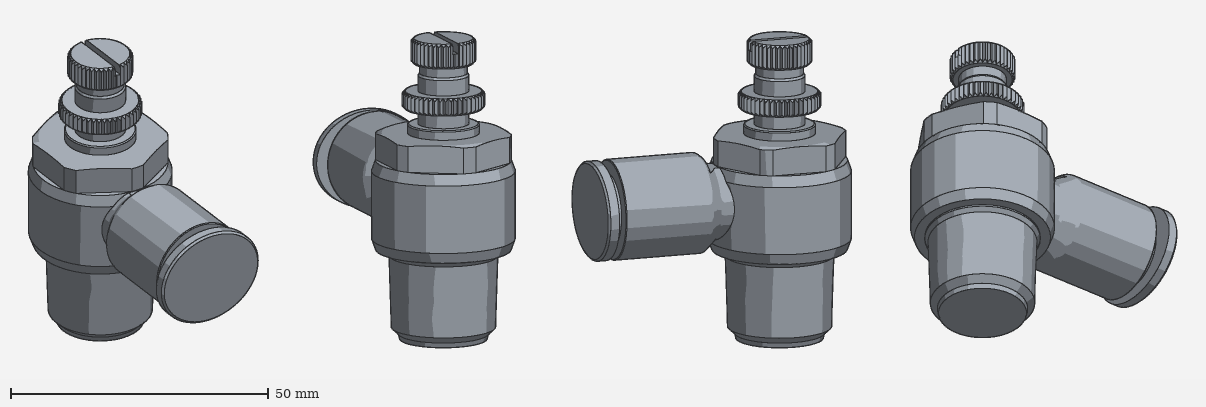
import cadquery as cq
import math


total_height = 59.8
tip_radius = 8.55
tip_upper_radius = 8.8
tip_height = 1.0
thread_bottom_z = 2.35
thread_bottom_radius = 10.15
thread_top_z = 16.55
taper = 1 / 32
thread_top_radius = thread_bottom_radius + taper * (thread_top_z - thread_bottom_z)
flare_radius = 11.25
flare_lip_height = 0.35

body_radius = 14.0
body_bottom_z = 17.8
body_top_z = 35.5
body_chamfer_height = 2.15
body_end_radius = 13.2

hex_flats = 24.1
hex_corner_radius = 13.2
hex_top_z = 40.95
hex_face_radius = 11.95
hex_chamfer_height = 0.3

collar_radius = 7.0
collar_top_z = 42.8
collar_chamfer = 0.25
stem_radius = 4.95
stem_shoulder_z = 52.4
stem_neck_z = 52.85
stem_neck_radius = 4.65
nut_bottom_z = 45.85
nut_top_z = 49.35
nut_tip_radius = 8.1
nut_root_radius = 7.4
nut_teeth = 46
head_bottom_z = 54.85
head_tip_radius = 6.35
head_root_radius = 5.85
head_teeth = 40
knurl_chamfer = 0.6
slot_width = 1.2
slot_depth = 2.0

port_z = 28.3
neck_radius = 7.5
cone_start_x = 14.25
cone_end_x = 17.0
cone_fillet = 1.0
barrel_radius = 9.85
barrel_end_x = 34.85
barrel_chamfer = 0.2
sleeve_radius = 7.05
flange_start_x = 36.7
flange_end_x = 38.9
flange_half_width = 11.3
flange_half_height = 9.7
flange_chamfer = 0.4

relief_floor_z = 35.45
relief_start_x = 15.4
relief_end_x = 16.15
relief_start_radius = relief_floor_z - port_z
relief_end_radius = 9.2


def turned(outline):
    """Revolve (radius, z) points about the Z axis; the outline is closed along the axis."""
    bottom_z = outline[0][1]
    top_z = outline[-1][1]
    points = [(0, bottom_z)] + outline + [(0, top_z)]
    return cq.Workplane("XZ").polyline(points).close().revolve(360, (0, 0), (0, 1))


def turned_about_port(outline):
    """Revolve (x, radius) points about the port axis; the outline is closed as given."""
    points = [(x, port_z + radius) for x, radius in outline]
    return cq.Workplane("XZ").polyline(points).close().revolve(360, (0, port_z), (1, port_z))


def chamfered_disc(radius, bottom_z, top_z, chamfer):
    disc = cq.Workplane("XY", origin=(0, 0, bottom_z)).circle(radius).extrude(top_z - bottom_z)
    return disc.faces("|Z").edges().chamfer(chamfer)


def knurled_disc(tip_radius, root_radius, teeth, bottom_z, top_z, first_tooth):
    """Disc with straight V teeth; first_tooth is the angle of one tooth tip in radians."""
    half_pitch = math.pi / teeth
    points = []
    for i in range(2 * teeth):
        radius = root_radius if i % 2 else tip_radius
        angle = first_tooth + i * half_pitch
        points.append((radius * math.cos(angle), radius * math.sin(angle)))
    height = top_z - bottom_z
    toothed = cq.Workplane("XY", origin=(0, 0, bottom_z)).polyline(points).close().extrude(height)
    return toothed.intersect(chamfered_disc(tip_radius, bottom_z, top_z, knurl_chamfer))


def make_body():
    return turned([
        (tip_radius, 0),
        (tip_upper_radius, tip_height),
        (thread_bottom_radius, thread_bottom_z),
        (thread_top_radius, thread_top_z),
        (flare_radius, body_bottom_z - flare_lip_height),
        (flare_radius, body_bottom_z),
        (body_end_radius, body_bottom_z),
        (body_radius, body_bottom_z + body_chamfer_height),
        (body_radius, body_top_z - body_chamfer_height),
        (body_end_radius, body_top_z),
    ])


def make_hexagon():
    corner_diameter = hex_flats / math.cos(math.pi / 6)
    prism = (
        cq.Workplane("XY", origin=(0, 0, body_top_z))
        .polygon(6, corner_diameter)
        .extrude(hex_top_z - body_top_z)
    )
    envelope = turned([
        (hex_corner_radius, body_top_z),
        (hex_corner_radius, hex_top_z - hex_chamfer_height),
        (hex_face_radius, hex_top_z),
    ])
    return prism.intersect(envelope)


def make_stem():
    return turned([
        (collar_radius, hex_top_z),
        (collar_radius, collar_top_z - collar_chamfer),
        (collar_radius - collar_chamfer, collar_top_z),
        (stem_radius, collar_top_z),
        (stem_radius, stem_shoulder_z),
        (stem_neck_radius, stem_neck_z),
        (stem_neck_radius, head_bottom_z),
    ])


def make_nut():
    return knurled_disc(nut_tip_radius, nut_root_radius, nut_teeth, nut_bottom_z, nut_top_z, math.pi / 2)


def make_head():
    half_pitch = math.pi / head_teeth
    head = knurled_disc(
        head_tip_radius, head_root_radius, head_teeth, head_bottom_z, total_height, half_pitch
    )
    slot = cq.Workplane("XY", origin=(0, 0, total_height)).box(
        2 * head_tip_radius, slot_width, 2 * slot_depth
    )
    return head.cut(slot)


def make_port():
    barrel = turned_about_port([
        (0, 0),
        (0, neck_radius),
        (cone_start_x, neck_radius),
        (cone_end_x, barrel_radius),
        (barrel_end_x - barrel_chamfer, barrel_radius),
        (barrel_end_x, barrel_radius - barrel_chamfer),
        (barrel_end_x, 0),
    ])
    for corner_x in (cone_start_x, cone_end_x):
        barrel = barrel.edges(cq.NearestToPointSelector((corner_x, 0, port_z))).fillet(cone_fillet)
    return barrel.cut(make_relief())


def make_relief():
    """Cutter: a ring around the port, kept only above the relief floor."""
    ring = turned_about_port([
        (0, relief_start_radius),
        (relief_start_x, relief_start_radius),
        (relief_end_x, relief_end_radius),
        (relief_end_x, barrel_radius),
        (0, barrel_radius),
    ])
    above_floor = (
        cq.Workplane("XY", origin=(0, 0, relief_floor_z))
        .rect(2 * relief_end_x, 2 * barrel_radius)
        .extrude(barrel_radius)
    )
    return ring.intersect(above_floor)


def make_release_sleeve():
    sleeve = (
        cq.Workplane("YZ", origin=(barrel_end_x, 0, port_z))
        .circle(sleeve_radius)
        .extrude(flange_start_x - barrel_end_x)
    )
    flange = (
        cq.Workplane("YZ", origin=(flange_start_x, 0, port_z))
        .ellipse(flange_half_width, flange_half_height)
        .extrude(flange_end_x - flange_start_x)
        .faces(">X")
        .edges()
        .chamfer(flange_chamfer)
    )
    return sleeve.union(flange)


result = make_body()
for piece in (make_port(), make_release_sleeve(), make_hexagon(), make_stem(), make_nut(), make_head()):
    result = result.union(piece)